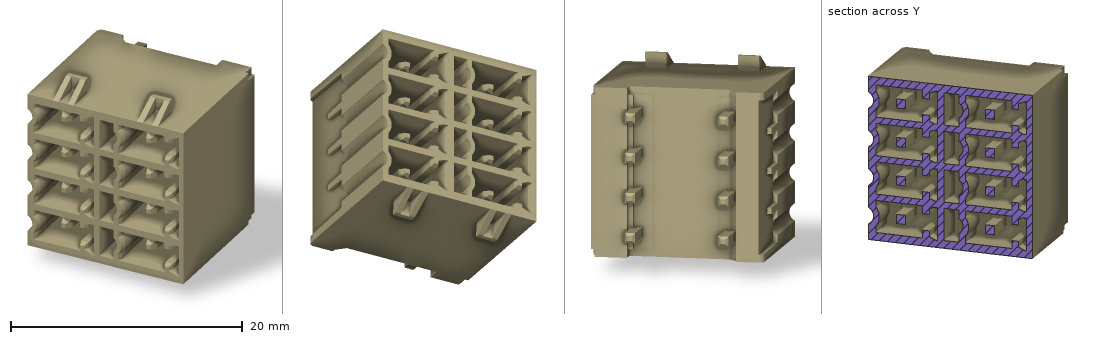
import cadquery as cq
import math


width = 15.2
depth = 13.29
height = 14.89
rows = 4
row_pitch = 3.5
column_pitch = 8.25
first_column_x = -4.6
row_heights = [(row - (rows - 1) / 2) * row_pitch for row in range(rows)]
column_positions = [first_column_x, first_column_x + column_pitch]
corner_radius = 0.5

cell_depth = 7.32
lead_in_depth = 0.5
lead_in = 0.15
cell_left = -2.27
cell_right = 3.35
cell_half_height = 1.45
key_left = 1.97
key_right = 2.65
key_tip = 0.72
ramp_start_x = key_right - lead_in
ramp_start_z = 1.2
ramp_slope = 0.42

collar_radius = 1.02
collar_depth = 0.18

groove_axis = -3.38
groove_radius = 0.85
groove_wall = 0.4

pocket_left = -4.25
pocket_right = -2.89

recess_depth = 0.4
flange_back = 0.67
flange_front = 0.81
divider_length = 2.41
divider_half_back = 0.26
divider_half_front = 0.32

clearance_depth = 1.1
clearance_floor = depth - clearance_depth
clearance_left = -5.17
clearance_right = 4.45
clearance_chamfer = 0.77
corner_notch = 0.32
pad_thickness = 0.07
left_pad_reach = 0.99
right_pad_reach = 1.21
ledge_width = 0.42
ledge_depth = 0.51

pin_size = 0.88
pin_tip_size = 0.42
pin_front = 0.99
pin_end = 15.9
front_tip_length = 0.8
back_tip_length = 0.23

latch_x = 4.1
latch_height = 1.35
latch_half_front = 1.02
latch_half_back = 0.93
latch_ramp_angle = 30
latch_tip_radius = 0.39
latch_back_base = 2.64
latch_back_top = 2.83
latch_slot_half = 0.44
latch_slot_end = 2.43
latch_slot_radius = 0.21


def xz_plane(y):
    """Plane at depth y whose local axes are X and Z and whose normal is -Y."""
    return cq.Workplane("XZ", origin=(0, y, 0))


def box(x0, x1, y0, y1, z0, z1):
    return cq.Workplane("XY").box(x1 - x0, y1 - y0, z1 - z0, centered=False).translate((x0, y0, z0))


def cell_side(relief, is_outer):
    """Key and ramp points of one cell half, from the wall by the key to the right wall."""
    left = key_left + relief
    right = key_right - relief
    tip = key_tip + relief
    wall = cell_right + relief

    def ramp(x):
        return ramp_start_z + ramp_slope * (x - ramp_start_x)

    points = [(left, cell_half_height), (left, tip), (right, tip), (right, ramp(right))]
    if is_outer:
        points.append((wall, ramp(wall)))
    else:
        flat_start = ramp_start_x + (cell_half_height - ramp_start_z) / ramp_slope
        points += [(flat_start, cell_half_height), (wall, cell_half_height)]
    return points


def draw_cell(plane, relief, top_is_outer, bottom_is_outer):
    """Cell outline, widened by relief away from its walls and keys."""
    left = cell_left - relief
    bulge_radius = groove_radius + groove_wall + lead_in - relief
    bulge_half = math.sqrt(bulge_radius**2 - (left - groove_axis) ** 2)
    top = cell_side(relief, top_is_outer)
    bottom = [(x, -z) for x, z in reversed(cell_side(relief, bottom_is_outer))]
    outline = plane.moveTo(left, bulge_half).lineTo(left, cell_half_height)
    for point in top + bottom:
        outline = outline.lineTo(*point)
    outline = outline.lineTo(left, -cell_half_height).lineTo(left, -bulge_half)
    return outline.threePointArc((groove_axis + bulge_radius, 0), (left, bulge_half)).close()


def make_cell(top_is_outer, bottom_is_outer):
    """Cell with a lead-in tapering from the mouth and a round recess in its floor."""
    deep = draw_cell(xz_plane(0), 0, top_is_outer, bottom_is_outer).extrude(-cell_depth)
    mouth = draw_cell(xz_plane(0), lead_in, top_is_outer, bottom_is_outer)
    throat = mouth.workplane(offset=-lead_in_depth)
    lead_in_taper = draw_cell(throat, 0, top_is_outer, bottom_is_outer).loft(ruled=True)
    collar = xz_plane(cell_depth).circle(collar_radius).extrude(-collar_depth)
    return deep.union(lead_in_taper).union(collar)


def make_groove():
    return xz_plane(0).center(groove_axis, 0).circle(groove_radius).extrude(-cell_depth)


def make_pocket():
    pocket = box(pocket_left, pocket_right, 0, cell_depth, -cell_half_height, cell_half_height)
    return pocket.union(make_groove())


def make_recess():
    """Shallow side recess with tapered edges, split by short tapered dividers."""
    back_half = height / 2 - flange_back
    front_half = height / 2 - flange_front
    plane = cq.Workplane("YZ", origin=(-width / 2, 0, 0))
    recess = plane.polyline([
        (depth, back_half),
        (cell_depth, front_half),
        (cell_depth, -front_half),
        (depth, -back_half),
    ]).close().extrude(recess_depth)
    divider_end = cell_depth + divider_length
    for lower, upper in zip(row_heights, row_heights[1:]):
        middle = (lower + upper) / 2
        divider = plane.polyline([
            (cell_depth, middle + divider_half_front),
            (divider_end, middle + divider_half_back),
            (divider_end, middle - divider_half_back),
            (cell_depth, middle - divider_half_front),
        ]).close().extrude(recess_depth)
        recess = recess.cut(divider)
    return recess


def make_clearance():
    """Step cut away between the feet at the back, chamfered at the left foot."""
    outline = cq.Workplane("XY", origin=(0, 0, -height / 2)).polyline([
        (clearance_left, depth),
        (clearance_left, clearance_floor + clearance_chamfer),
        (clearance_left + clearance_chamfer, clearance_floor),
        (clearance_right, clearance_floor),
        (clearance_right, depth),
    ])
    return outline.close().extrude(height)


def make_tip(y, length, direction):
    """Tapered pin end starting at y; direction is 1 towards +Y and -1 towards -Y."""
    base = cq.Workplane("XZ", origin=(0, y, 0)).rect(pin_size, pin_size)
    return base.workplane(offset=-direction * length).rect(pin_tip_size, pin_tip_size).loft(ruled=True)


def make_pads():
    """Thin pads at the pins and a ledge by the right foot, between the flanges."""
    half = height / 2 - flange_back
    left_x, right_x = column_positions
    strips = [
        (left_x, left_x + left_pad_reach, pad_thickness),
        (right_x - right_pad_reach, clearance_right, pad_thickness),
        (clearance_right - ledge_width, clearance_right, ledge_depth),
    ]
    return [
        box(start, end, clearance_floor, clearance_floor + thickness, -half, half)
        for start, end, thickness in strips
    ]


def make_pin():
    shank_start = pin_front + front_tip_length
    shank_end = pin_end - back_tip_length
    half = pin_size / 2
    pin = box(-half, half, shank_start, shank_end, -half, half)
    pin = pin.union(make_tip(shank_start, front_tip_length, -1))
    return pin.union(make_tip(shank_end, back_tip_length, 1))


def make_latch():
    """Catch on top of the housing: a wedge narrowing to the back, slotted into two arms."""
    ramp_length = latch_height / math.tan(math.radians(latch_ramp_angle))
    wedge = cq.Workplane("YZ", origin=(-latch_half_front, 0, 0)).polyline([
        (0, 0),
        (ramp_length, latch_height),
        (latch_back_top, latch_height),
        (latch_back_base, 0),
    ]).close().extrude(2 * latch_half_front)
    wedge = wedge.edges("|X and >Z").edges("<Y").fillet(latch_tip_radius)
    footprint = cq.Workplane("XY").polyline([
        (-latch_half_front, 0),
        (latch_half_front, 0),
        (latch_half_back, latch_back_top),
        (-latch_half_back, latch_back_top),
    ]).close().extrude(latch_height)
    slot = box(-latch_slot_half, latch_slot_half, 0, latch_slot_end, 0, latch_height)
    slot = slot.edges("|X and >Y and <Z").fillet(latch_slot_radius)
    return wedge.intersect(footprint).cut(slot).translate((0, 0, height / 2))


def make_corner_notch():
    """Notch at the upper back corner of the +X side."""
    return box(
        width / 2 - corner_notch, width / 2,
        clearance_floor, depth,
        height / 2 - flange_back, height / 2,
    )


housing = box(-width / 2, width / 2, 0, depth, -height / 2, height / 2)
housing = housing.edges("|Z and <X and >Y").fillet(corner_radius)
housing = housing.cut(make_clearance()).cut(make_recess())

left_column, right_column = column_positions
pin = make_pin()
groove = make_groove()
pocket = make_pocket()
cutters = [make_corner_notch(), make_corner_notch().mirror("XY")]
additions = make_pads()
for row, z in enumerate(row_heights):
    cell = make_cell(row == rows - 1, row == 0)
    for x in column_positions:
        cutters.append(cell.translate((x, 0, z)))
        additions.append(pin.translate((x, 0, z)))
    cutters.append(groove.translate((left_column, 0, z)))
    cutters.append(pocket.translate((right_column, 0, z)))

latch = make_latch()
for x in (-latch_x, latch_x):
    top_latch = latch.translate((x, 0, 0))
    additions += [top_latch, top_latch.mirror("XY")]

body = housing.val().cut(*[cutter.val() for cutter in cutters])
body = body.fuse(*[addition.val() for addition in additions]).clean()
result = cq.Workplane("XY").newObject(body.Solids())